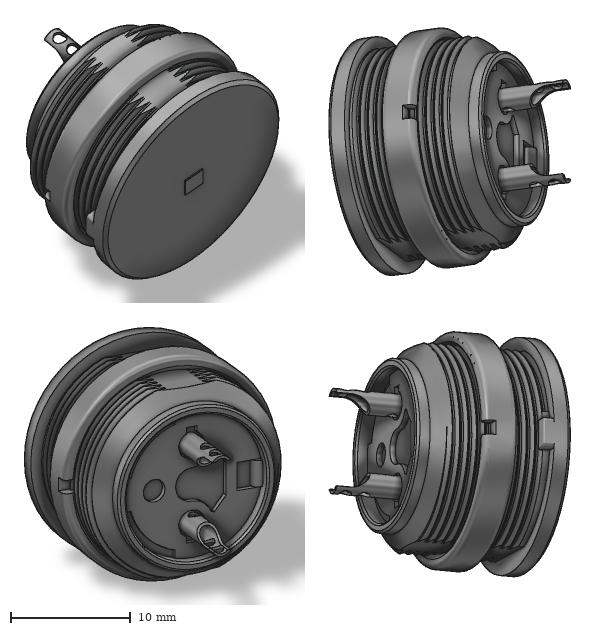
import cadquery as cq
import math


collar_start = 4.65
cone_start = 5.78
nut_start = 9.68
nut_end = 12.65
flange_start = 15.92
flange_end = 17.48
overall_length = 17.6

outer_diameter = 20.0
collar_diameter = 14.7
collar_chamfer = 0.2
cone_length = 1.35
flange_chamfer = 0.32
flats_width = 16.8

crest_diameter = 18.0
thread_pitch = 0.75
thread_depth = 0.42
thread_root_width = 0.18
thread_angle = 60.0
thread_start = 6.7
thread_turns = 12
thread_runout_angle = 13.0
cutter_overshoot = 0.05

nut_bore_diameter = 17.32
nut_mouth_diameter = 18.3
nut_fillet = 0.5
nut_notch_width = 1.2
nut_notch_depth = 0.95

bore_diameter = 13.1
bore_chamfer = 0.18
bore_depth = 1.05
recess_depth = 0.5
rim_recess_depth = 0.3
insulator_face = collar_start + bore_depth
rim_recess_radius = 5.85
rim_recess_start_y = 1.58
rim_recess_start_z = 1.48

pin_diameter = 2.0
pin_offset = 3.5
pin_pocket_diameter = 2.4
pin_key_width = 0.95
pin_key_reach = 5.15
cup_bore_diameter = 1.5
cup_bore_end = 5.7
cup_tab_offset = 0.5
cup_cut_radius = 2.0
cup_cut_tangent_x = 1.2
cup_hole_diameter = 1.2
cup_hole_positions = (1.0, 2.7)
vent_diameter = 1.0
vent_position = 5.25

keyhole_radius = 1.5
keyhole_flare_angle = 67.5
keyhole_tip = (-2.1, 2.8)
keyhole_corner = (-3.2, 1.48)

window_inner_y = 4.22
window_outer_y = 6.5
window_height = 2.52
latch_inner_y = 5.65
latch_height = 2.35
latch_rise = 0.25
latch_fillet = 0.7

key_start = 14.95
key_width = 2.6
key_inner_radius = 8.8
key_side_fillet = 0.4
key_end_fillet = 0.2

nub_width = 2.0
nub_height = 1.72


def disc(start, end, diameter, y=0.0, z=0.0):
    """Cylinder along X between two stations."""
    plane = cq.Workplane("YZ", origin=(start, y, z))
    return plane.circle(diameter / 2).extrude(end - start)


def block(x_range, y_range, z_range):
    """Box given by its limits along each axis."""
    sizes = [high - low for low, high in (x_range, y_range, z_range)]
    corner = (x_range[0], y_range[0], z_range[0])
    return cq.Workplane("XY").box(*sizes, centered=False).translate(corner)


def recess_plane():
    """Sketch plane on the insulator face: local x is Y, local y is Z, extruding into the part."""
    return cq.Workplane("YZ", origin=(insulator_face, 0, 0))


def flatten(solid):
    """Trim a solid by the two wrench flats at +Z and -Z."""
    slab = cq.Workplane("XY").box(2 * overall_length, 2 * outer_diameter, flats_width)
    return solid.intersect(slab)


def threaded_body():
    crest_radius = crest_diameter / 2
    barrel = (
        cq.Workplane("XY")
        .moveTo(cone_start, 0)
        .lineTo(cone_start, collar_diameter / 2)
        .lineTo(cone_start + cone_length, crest_radius)
        .lineTo(flange_end, crest_radius)
        .lineTo(flange_end, 0)
        .close()
        .revolve(360, (0, 0, 0), (1, 0, 0))
    )
    return flatten(barrel.cut(thread_cutter()))


def thread_cutter():
    """Right-handed V groove that starts on the -Y side and runs out near the flange key."""
    root_radius = crest_diameter / 2 - thread_depth
    top_radius = crest_diameter / 2 + cutter_overshoot
    root_half = thread_root_width / 2
    top_half = root_half + (top_radius - root_radius) * math.tan(math.radians(thread_angle / 2))
    travel = thread_pitch * (thread_turns - thread_runout_angle / 360)
    helix = cq.Workplane(cq.Wire.makeHelix(thread_pitch, travel, root_radius))
    groove = (
        cq.Workplane("XZ")
        .moveTo(root_radius, -root_half)
        .lineTo(top_radius, -top_half)
        .lineTo(top_radius, top_half)
        .lineTo(root_radius, root_half)
        .close()
        .sweep(helix, isFrenet=True)
    )
    thread_plane = cq.Plane(origin=(thread_start, 0, 0), xDir=(0, -1, 0), normal=(1, 0, 0))
    return cq.Workplane(groove.val().located(cq.Location(thread_plane)))


def nut():
    """Rounded ring on the thread, countersunk at both ends, with two notches in its rear face."""
    ring = disc(nut_start, nut_end, outer_diameter).edges().fillet(nut_fillet)
    bore_radius = nut_bore_diameter / 2
    mouth_radius = nut_mouth_diameter / 2
    countersink = mouth_radius - bore_radius
    bore = (
        cq.Workplane("XY")
        .moveTo(nut_start, 0)
        .lineTo(nut_start, mouth_radius)
        .lineTo(nut_start + countersink, bore_radius)
        .lineTo(nut_end - countersink, bore_radius)
        .lineTo(nut_end, mouth_radius)
        .lineTo(nut_end, 0)
        .close()
        .revolve(360, (0, 0, 0), (1, 0, 0))
    )
    notch = block(
        (nut_start, nut_start + nut_notch_depth),
        (-outer_diameter, outer_diameter),
        (-nut_notch_width / 2, nut_notch_width / 2),
    )
    engaged = flatten(disc(nut_start + nut_notch_depth, nut_end - countersink, crest_diameter))
    return ring.cut(bore).cut(notch).union(engaged)


def flange():
    plate = disc(flange_start, flange_end, outer_diameter)
    plate = plate.faces(">X").edges().chamfer(flange_chamfer)
    nub = block(
        (flange_start, overall_length),
        (-nub_width / 2, nub_width / 2),
        (-nub_height / 2, nub_height / 2),
    )
    return plate.union(nub).union(flange_key())


def flange_key():
    """Rounded anti-rotation key behind the flange on the -Y side."""
    key = block(
        (key_start, flange_start),
        (-outer_diameter / 2, -key_inner_radius),
        (-key_width / 2, key_width / 2),
    )
    key = key.intersect(disc(key_start, flange_start, outer_diameter))
    key = key.faces("<Y").edges("|X").fillet(key_side_fillet)
    return key.faces("<X").edges("<Y").fillet(key_end_fillet)


def rear_collar():
    collar = disc(collar_start, cone_start, collar_diameter)
    return collar.faces("<X").edges().chamfer(collar_chamfer)


def rear_bore():
    bore = disc(collar_start, insulator_face, bore_diameter)
    mouth = cq.Solid.makeCone(
        bore_diameter / 2 + bore_chamfer,
        bore_diameter / 2,
        bore_chamfer,
        pnt=cq.Vector(collar_start, 0, 0),
        dir=cq.Vector(1, 0, 0),
    )
    return bore.union(cq.Workplane(mouth))


def rim_recess(side):
    """Arc-shaped pocket along the bore wall in the +Y half, above (+1) or below (-1) the axis."""
    pocket_end = insulator_face + rim_recess_depth
    ring = disc(insulator_face, pocket_end, bore_diameter)
    ring = ring.cut(disc(insulator_face, pocket_end, 2 * rim_recess_radius))
    z_limits = sorted((side * rim_recess_start_z, side * bore_diameter))
    return ring.intersect(
        block((insulator_face, pocket_end), (rim_recess_start_y, bore_diameter), z_limits)
    )


def keyhole_recess():
    """Round end toward +Y that flares along arcs concentric with both pins to blunt tips."""
    flare_radius = pin_offset - keyhole_radius

    def flare_point(angle, side):
        y = -flare_radius * math.sin(math.radians(angle))
        z = pin_offset - flare_radius * math.cos(math.radians(angle))
        return (y, side * z)

    tip_y, tip_z = keyhole_tip
    corner_y, corner_z = keyhole_corner
    return (
        recess_plane()
        .moveTo(0, keyhole_radius)
        .threePointArc(flare_point(keyhole_flare_angle / 2, 1), flare_point(keyhole_flare_angle, 1))
        .lineTo(tip_y, tip_z)
        .lineTo(corner_y, corner_z)
        .lineTo(corner_y, -corner_z)
        .lineTo(tip_y, -tip_z)
        .lineTo(*flare_point(keyhole_flare_angle, -1))
        .threePointArc(flare_point(keyhole_flare_angle / 2, -1), (0, -keyhole_radius))
        .threePointArc((keyhole_radius, 0), (0, keyhole_radius))
        .close()
        .extrude(recess_depth)
    )


def latch_window():
    """Rectangular window in the insulator face toward -Y."""
    window_end = insulator_face + recess_depth
    window = block(
        (insulator_face, window_end),
        (-window_outer_y, -window_inner_y),
        (-window_height / 2, window_height / 2),
    )
    return window.intersect(disc(insulator_face, window_end, bore_diameter))


def latch():
    """Block at the outer end of the window, rounded on its edge facing the axis."""
    latch_start = insulator_face - latch_rise
    latch_end = insulator_face + recess_depth
    body = block(
        (latch_start, latch_end),
        (-window_outer_y, -latch_inner_y),
        (-latch_height / 2, latch_height / 2),
    )
    body = body.edges("<X and >Y").fillet(latch_fillet)
    return body.intersect(disc(latch_start, latch_end, bore_diameter))


def pin_pocket(side):
    """Clearance ring and key slot around a pin at +Z (+1) or -Z (-1)."""
    pocket_end = insulator_face + recess_depth
    pocket = disc(insulator_face, pocket_end, pin_pocket_diameter, z=side * pin_offset)
    slot = block(
        (insulator_face, pocket_end),
        (-pin_key_width / 2, pin_key_width / 2),
        sorted((side * pin_offset, side * pin_key_reach)),
    )
    return pocket.union(slot)


def solder_pin():
    """Upper pin: a tube scooped open from below, leaving an outer tab with two holes,
    with a vent hole facing the part axis near the insulator.
    """
    pin = disc(0, insulator_face + recess_depth, pin_diameter, z=pin_offset)
    pin = pin.cut(disc(0, cup_bore_end, cup_bore_diameter, z=pin_offset))
    tab_z = pin_offset + cup_tab_offset
    pin_bottom = pin_offset - pin_diameter / 2
    scoop_center_z = tab_z - cup_cut_radius
    rise = pin_bottom - scoop_center_z
    scoop_end = cup_cut_tangent_x + math.sqrt(cup_cut_radius**2 - rise**2)
    middle = (math.pi / 2 + math.asin(rise / cup_cut_radius)) / 2
    scoop_middle = (
        cup_cut_tangent_x + cup_cut_radius * math.cos(middle),
        scoop_center_z + cup_cut_radius * math.sin(middle),
    )
    scoop = (
        cq.Workplane("XZ")
        .moveTo(0, pin_bottom)
        .lineTo(0, tab_z)
        .lineTo(cup_cut_tangent_x, tab_z)
        .threePointArc(scoop_middle, (scoop_end, pin_bottom))
        .close()
        .extrude(pin_diameter, both=True)
    )
    pin = pin.cut(scoop)
    holes = (
        cq.Workplane("XY", origin=(0, 0, pin_offset))
        .pushPoints([(x, 0) for x in cup_hole_positions])
        .circle(cup_hole_diameter / 2)
        .extrude(pin_diameter)
    )
    vent = (
        cq.Workplane("XY", origin=(vent_position, 0, pin_offset))
        .circle(vent_diameter / 2)
        .extrude(-pin_diameter)
    )
    return pin.cut(holes).cut(vent)


result = threaded_body().union(nut()).union(flange()).union(rear_collar())
result = result.cut(rear_bore()).cut(keyhole_recess()).cut(latch_window())
result = result.cut(disc(insulator_face, insulator_face + recess_depth, pin_diameter, y=pin_offset))
for side in (1, -1):
    result = result.cut(rim_recess(side)).cut(pin_pocket(side))
upper_pin = solder_pin()
result = result.union(latch()).union(upper_pin).union(upper_pin.mirror("XY"))